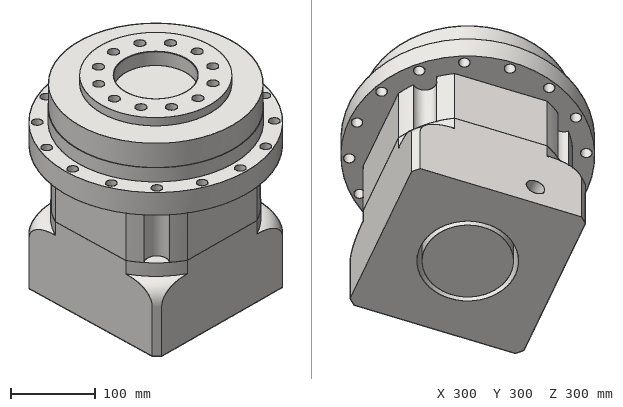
import cadquery as cq
import math

adapter_top = 116.0
flange_bottom = 201.3
flange_top = 233.7
centring_top = 253.8
body_top = 288.3
boss_top = 300.0

square_side = 220.0
neck_radius = 124.5
foot_radius = 150.0
shoulder_radius = foot_radius - neck_radius
shoulder_top = 97.0

flange_radius = foot_radius
centring_radius = 127.5
body_radius = 127.0
boss_radius = 90.0

pilot_radius = 49.8
pilot_depth = 20.0
pilot_chamfer = 0.45

mount_count = 16
mount_circle_radius = 140.0
mount_diameter = 13.5

output_count = 12
output_circle_radius = 70.0
output_diameter = 14.0
output_depth = 24.0
drill_point_angle = 118.0

corner_count = 4
channel_radius = 15.0

hub_radius = 54.0
hub_bore_radius = 60.0
access_diameter = 23.0
access_y = -43.8
access_z = 30.5


def cylinder(radius, bottom, top):
    return cq.Workplane("XY").workplane(offset=bottom).circle(radius).extrude(top - bottom)


def square_block(bottom, top):
    return cq.Workplane("XY").workplane(offset=bottom).rect(square_side, square_side).extrude(top - bottom)


def make_adapter():
    """Square foot whose corners curve in, over a rounded shoulder, to the neck radius."""
    round_limit = (
        cq.Workplane("XZ")
        .lineTo(foot_radius, 0)
        .lineTo(foot_radius, shoulder_top - shoulder_radius)
        .radiusArc((neck_radius, shoulder_top), -shoulder_radius)
        .lineTo(neck_radius, adapter_top)
        .lineTo(0, adapter_top)
        .close()
        .revolve(360, (0, 0, 0), (0, 1, 0))
    )
    hub_bore = cylinder(hub_bore_radius, 0, adapter_top)
    access_hole = (
        cq.Workplane("YZ", origin=(-square_side / 2, access_y, access_z))
        .circle(access_diameter / 2)
        .extrude(square_side / 2)
    )
    return square_block(0, adapter_top).intersect(round_limit).cut(hub_bore).cut(access_hole)


def make_corner_channels():
    """Round channels on the diagonals, over the height of the neck."""
    first_angle = 180 / corner_count
    return (
        cq.Workplane("XY", origin=(0, 0, adapter_top))
        .polarArray(neck_radius, first_angle, 360, corner_count)
        .circle(channel_radius)
        .extrude(flange_bottom - adapter_top)
    )


def make_output_holes():
    """Drilled holes in a circle, each a revolved profile with a conical bottom."""
    radius = output_diameter / 2
    point_depth = radius / math.tan(math.radians(drill_point_angle / 2))
    floor = boss_top - output_depth
    drill = (
        cq.Workplane("XZ")
        .moveTo(0, boss_top)
        .lineTo(radius, boss_top)
        .lineTo(radius, floor)
        .lineTo(0, floor - point_depth)
        .close()
        .revolve(360, (0, 0, 0), (0, 1, 0))
        .translate((output_circle_radius, 0, 0))
    )
    step = 360 / output_count
    return [drill.rotate((0, 0, 0), (0, 0, 1), step * i) for i in range(output_count)]


def make_gearhead():
    """Square neck under a stack of round stages: flange, centring ring, body and output boss."""
    neck_round = cylinder(neck_radius, adapter_top, flange_bottom)
    neck = square_block(adapter_top, flange_bottom).intersect(neck_round).cut(make_corner_channels())

    mount_holes = (
        cq.Workplane("XY", origin=(0, 0, flange_bottom))
        .polarArray(mount_circle_radius, 0, 360, mount_count)
        .circle(mount_diameter / 2)
        .extrude(flange_top - flange_bottom)
    )
    flange = cylinder(flange_radius, flange_bottom, flange_top).cut(mount_holes)

    pilot = cylinder(pilot_radius, boss_top - pilot_depth, boss_top)
    boss = cylinder(boss_radius, body_top, boss_top)
    head = (
        neck.union(flange)
        .union(cylinder(centring_radius, flange_top, centring_top))
        .union(cylinder(body_radius, centring_top, body_top))
        .union(boss)
        .cut(pilot)
    )
    head = head.faces(">Z").edges(cq.selectors.RadiusNthSelector(0)).chamfer(pilot_chamfer)
    for hole in make_output_holes():
        head = head.cut(hole)
    return head


def make_hub():
    """Plain input hub standing in the adapter bore, against the underside of the gearhead."""
    return cylinder(hub_radius, 0, adapter_top)


adapter = make_adapter()
gearhead = make_gearhead()
hub = make_hub()

result = cq.Compound.makeCompound([adapter.val(), gearhead.val(), hub.val()])